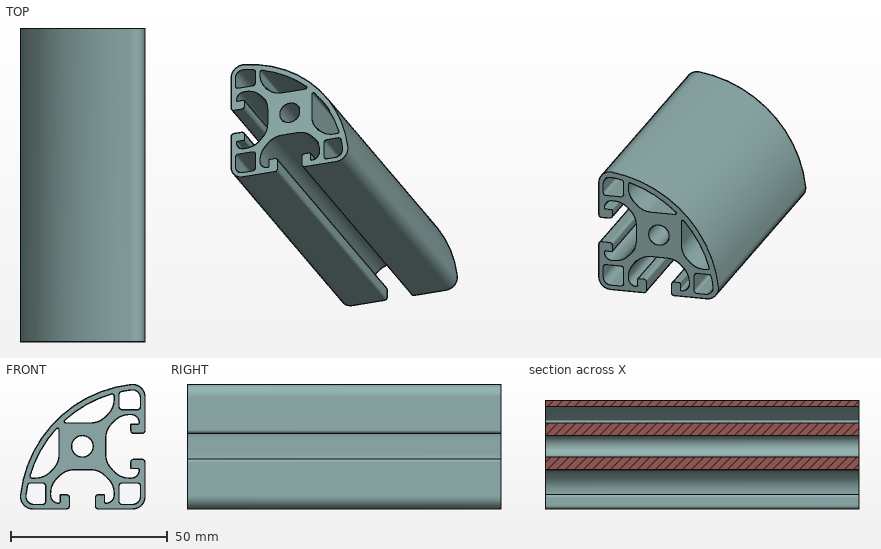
import cadquery as cq
import math

length = 100.0
half_width = 20.0
wall = 1.5
round_face_wall = 1.8

round_face_radius = 2 * half_width
symmetry_angle = math.radians(135)
corner_radius = 4.0

bore_diameter = 6.8
core_half = 7.5
web_half_thickness = 1.5
web_bend_radius = 6.5

slot_half_mouth = 4.1
slot_half_width = 10.1
lip_half_spacing = 7.1
lip_depth = 4.6
lip_outer_radius = 1.0
lip_inner_radius = 0.3
notch_wall = 1.9
notch_radius = 0.4
slot_corner_radius = 2.5

pocket_wall = 1.6
pocket_inner = slot_half_width + pocket_wall
pocket_radius = 1.0
chamber_tip_radius = 0.5
chamber_end_radius = 0.6

inner_face_radius = round_face_radius - round_face_wall

web_shift = web_half_thickness * math.sqrt(2)


def extrude_full_length(profile):
    return profile.extrude(length / 2, both=True)


def mirror_to_other_leg(solid):
    """Mirror about the part's symmetry plane, taking (x, z) to (-z, -x)."""
    return solid.mirror(cq.Vector(1, 0, 1))


def rounded_prism(corners):
    """Full-length prism from (x, z, radius) corners; radius 0 leaves a corner sharp."""
    vectors = [cq.Vector(x, z, 0) for x, z, _ in corners]
    profile = None
    for i, (_, _, radius) in enumerate(corners):
        corner = vectors[i]
        to_previous = (vectors[i - 1] - corner).normalized()
        to_next = (vectors[(i + 1) % len(vectors)] - corner).normalized()
        half_angle = to_previous.getAngle(to_next) / 2
        setback = radius / math.tan(half_angle)
        start = corner + to_previous * setback
        end = corner + to_next * setback
        crown_gap = radius / math.sin(half_angle) - radius
        crown = corner + (to_previous + to_next).normalized() * crown_gap
        if profile is None:
            profile = cq.Workplane("XZ").moveTo(start.x, start.y)
        else:
            profile = profile.lineTo(start.x, start.y)
        if radius > 0:
            profile = profile.threePointArc((crown.x, crown.y), (end.x, end.y))
    return extrude_full_length(profile.close())


def envelope(inset, round_face_inset):
    """Full-length quarter-round prism, its flat sides and its round face moved inward."""
    side = half_width - inset
    face_radius = round_face_radius - round_face_inset
    radius = corner_radius - inset
    centre = half_width - corner_radius
    tip_centre = math.sqrt((face_radius - radius) ** 2 - corner_radius**2) - half_width
    tip_angle = math.atan2(tip_centre + half_width, -corner_radius)

    def on_round_face(angle):
        return half_width + face_radius * math.cos(angle), -half_width + face_radius * math.sin(angle)

    def on_tip_round(angle):
        return centre + radius * math.cos(angle), tip_centre + radius * math.sin(angle)

    def other_leg(point):
        return -point[1], -point[0]

    touch = on_round_face(tip_angle)
    tip_middle = on_tip_round(tip_angle / 2)
    diagonal = radius / math.sqrt(2)
    profile = (
        cq.Workplane("XZ")
        .moveTo(side, tip_centre)
        .threePointArc(tip_middle, touch)
        .threePointArc(on_round_face(symmetry_angle), other_leg(touch))
        .threePointArc(other_leg(tip_middle), (-tip_centre, -side))
        .lineTo(centre, -side)
        .threePointArc((centre + diagonal, -centre - diagonal), (side, -centre))
        .close()
    )
    return extrude_full_length(profile)


def t_slot():
    """Slot opening on the +X face, symmetric about the XY plane."""
    lip_back = half_width - lip_depth
    notch_end = half_width - notch_wall
    clear_of_face = half_width + lip_outer_radius
    upper_half = [
        (clear_of_face, lip_half_spacing, 0),
        (half_width, lip_half_spacing, 0),
        (half_width, slot_half_mouth, lip_outer_radius),
        (lip_back, slot_half_mouth, lip_outer_radius),
        (lip_back, lip_half_spacing, lip_inner_radius),
        (notch_end, lip_half_spacing, notch_radius),
        (notch_end, slot_half_width, slot_corner_radius),
        (slot_half_width + web_shift, slot_half_width, web_bend_radius),
        (core_half, core_half - web_shift, web_bend_radius),
    ]
    lower_half = [(x, -z, radius) for x, z, radius in reversed(upper_half)]
    return rounded_prism(upper_half + lower_half)


def height_inside_round_face(x):
    return math.sqrt(inner_face_radius**2 - (half_width - x) ** 2) - half_width


def round_edge(solid, x, z, radius):
    return solid.edges(cq.selectors.NearestToPointSelector((x, 0, z))).fillet(radius)


def tip_pocket(interior):
    """Hollow at the upper tip, under the end of the round face."""
    block = rounded_prism([
        (pocket_inner, pocket_inner, pocket_radius),
        (half_width - wall, pocket_inner, pocket_radius),
        (half_width - wall, half_width, 0),
        (pocket_inner, half_width, 0),
    ])
    pocket = block.intersect(interior)
    return round_edge(pocket, pocket_inner, height_inside_round_face(pocket_inner), pocket_radius)


def square_corner_pocket():
    """Hollow at the square corner, concentric with the outer corner round."""
    outer = half_width - wall
    return rounded_prism([
        (pocket_inner, -pocket_inner, pocket_radius),
        (outer, -pocket_inner, pocket_radius),
        (outer, -outer, corner_radius - wall),
        (pocket_inner, -outer, pocket_radius),
    ])


def round_face_chamber(interior):
    """Hollow between the core, the upper web and the round face."""
    block = rounded_prism([
        (-half_width, core_half, 0),
        (core_half - web_shift, core_half, web_bend_radius),
        (slot_half_width, slot_half_width + web_shift, web_bend_radius),
        (slot_half_width, half_width, 0),
        (-half_width, half_width, 0),
    ])
    chamber = block.intersect(interior)
    tip_x = half_width - math.sqrt(inner_face_radius**2 - (core_half + half_width) ** 2)
    chamber = round_edge(chamber, tip_x, core_half, chamber_tip_radius)
    end_z = height_inside_round_face(slot_half_width)
    return round_edge(chamber, slot_half_width, end_z, chamber_end_radius)


inner_envelope = envelope(wall, round_face_wall)
bore = extrude_full_length(cq.Workplane("XZ").circle(bore_diameter / 2))

result = envelope(0, 0).cut(bore).cut(square_corner_pocket())
for hollow in (t_slot(), tip_pocket(inner_envelope), round_face_chamber(inner_envelope)):
    result = result.cut(hollow).cut(mirror_to_other_leg(hollow))